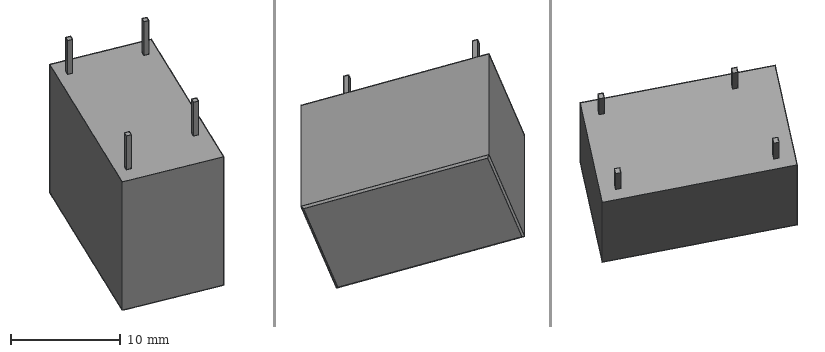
import cadquery as cq

body_length = 18.25
body_width = 10.0
body_height = 15.4
bottom_chamfer = 0.2

pin_side = 0.5
pin_length = 4.0
pin_row_pitch = 7.5
left_pin_inset = 1.7
back_pin_spacing = 12.5
front_pin_spacing = 14.8

left_pin_x = -body_length / 2 + left_pin_inset
row_y = pin_row_pitch / 2
pin_centres = [
    (left_pin_x, row_y),
    (left_pin_x + back_pin_spacing, row_y),
    (left_pin_x, -row_y),
    (left_pin_x + front_pin_spacing, -row_y),
]


def make_body():
    """Housing with its base on Z = 0."""
    box = cq.Workplane("XY").box(
        body_length, body_width, body_height, centered=(True, True, False)
    )
    return box.faces("<Z").chamfer(bottom_chamfer)


def add_pins(body):
    """Raise one square pin at each pin centre."""
    return (
        body.faces(">Z")
        .workplane(origin=(0, 0, body_height))
        .pushPoints(pin_centres)
        .rect(pin_side, pin_side)
        .extrude(pin_length)
    )


result = add_pins(make_body())